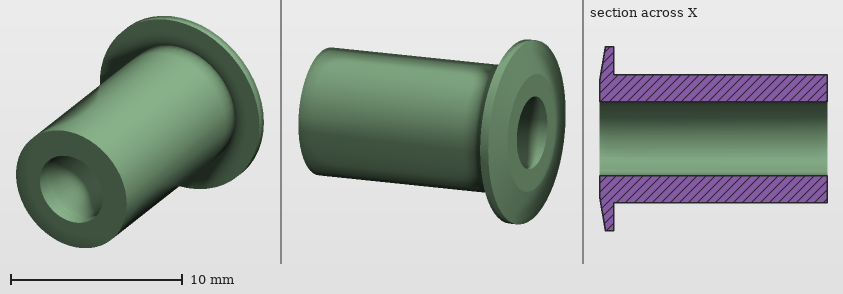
import cadquery as cq

total_length = 13.28
shank_diameter = 7.5
bore_diameter = 4.27

flange_diameter = 10.8
flange_thickness = 0.85
rim_thickness = 0.52
crown_diameter = 6.9

shank_length = total_length - flange_thickness
rim_end = shank_length + rim_thickness


def sleeve_profile():
    """Half section in the XY plane: X is the radius, Y runs along the axis."""
    return (
        cq.Workplane("XY")
        .moveTo(bore_diameter / 2, 0)
        .lineTo(shank_diameter / 2, 0)
        .lineTo(shank_diameter / 2, shank_length)
        .lineTo(flange_diameter / 2, shank_length)
        .lineTo(flange_diameter / 2, rim_end)
        .lineTo(crown_diameter / 2, total_length)
        .lineTo(bore_diameter / 2, total_length)
        .close()
    )


result = sleeve_profile().revolve(360, (0, 0, 0), (0, 1, 0))